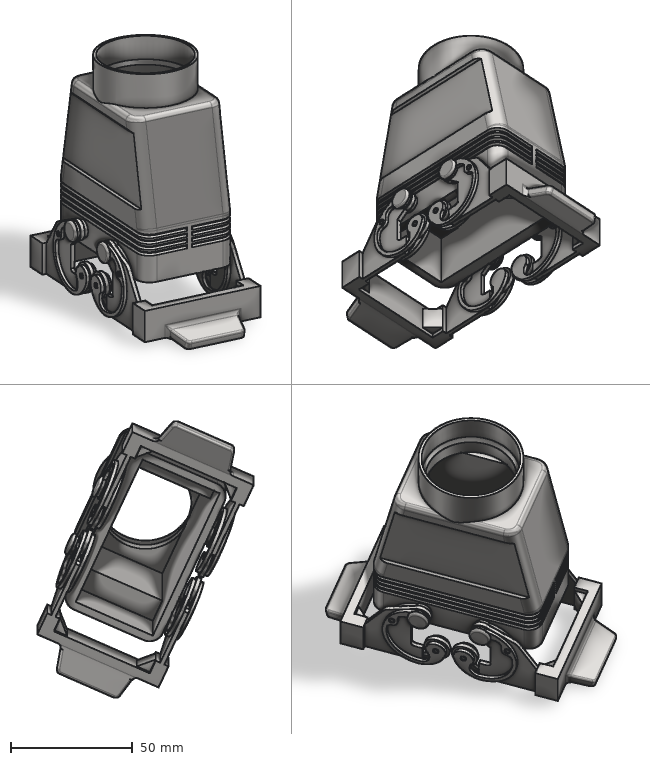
import cadquery as cq
import math


overall_length = 118.1
overall_height = 108.0

hood_half_length = 36.6
hood_half_depth = 21.7
hood_bottom = 20.7
hood_top = 90.6
taper_start = 44.2
taper_angle = math.radians(11.5)
shoulder_blend = 4.7
hood_corner_radius = 6.0
hood_top_radius = 2.4
hood_wall = 3.3
ceiling_thickness = 3.5
front_wall = 5.3
pocket_half_length = 23.9

panel_bottom = 52.4
panel_top = 83.8
panel_depth = 1.2
panel_ramp = 0.7

groove_count = 4
groove_pitch = 2.6
lowest_groove = 33.4
groove_half_width = 0.8
groove_depth = 1.0
groove_gap = 2.4

collar_radius = 21.6
collar_bore_radius = 20.3
entry_radius = 18.9
collar_bore_depth = 10.4
collar_seat_depth = 1.8

layer_inner = 22.0
web_inner = 23.6
web_outer = 25.5
layer_outer = 27.0
pin_end = 28.52
ring_center = (-13.5, 15.77)
ring_outer_radius = 15.77
ring_width = 1.8
pin_center = (-13.5, 28.0)
pin_radius = 4.6
pin_rounding = 1.0
hook_end_radius = 3.9
eye_center = (-6.0, 10.5)
eye_radius = 4.4
roller_radius = 5.5
rivet_center = (-25.2, 22.4)
rivet_boss_radius = 2.5
rivet_hole_radius = 1.2
rivet_hole_depth = 0.5

bar_outer = 47.4
bar_inner = 43.3
bar_arm_end = 37.4
bar_half_depth = 27.4
bar_arm_inner = 21.6
bar_height = 13.9
gusset_inset = 2.0
gusset_leg = bar_inner - bar_arm_end

tab_angle = math.radians(14)
tab_thickness = 4.3
tab_root_half_width = 16.5
tab_corner_radius = 2.1
tab_edge_radius = 1.0
tab_root_radius = 2.0
tab_embed = 1.2

rounding_loss = tab_edge_radius * (math.sin(tab_angle) + math.cos(tab_angle) - 1)
tab_reach = overall_length / 2 - bar_outer + rounding_loss
tab_length = (tab_reach - tab_thickness * math.sin(tab_angle)) / math.cos(tab_angle)
tab_drop = tab_length * math.sin(tab_angle) - rounding_loss
collar_top = overall_height - tab_drop
cavity_top = hood_top - ceiling_thickness


def polar(center, radius, degrees):
    angle = math.radians(degrees)
    return (center[0] + radius * math.cos(angle), center[1] + radius * math.sin(angle))


def slab(outline, near, far):
    """Extrude an XZ outline between two distances in front of the middle plane."""
    return outline.extrude(far - near).translate((0, -near, 0))


def disc(center, radius, near, far):
    return slab(cq.Workplane("XZ").center(*center).circle(radius), near, far)


def box_between(low, high):
    size = [b - a for a, b in zip(low, high)]
    return cq.Workplane("XY").box(*size, centered=False).translate(low)


def half_length_at(height):
    return hood_half_length - (height - taper_start) * math.tan(taper_angle)


def hood_shell():
    blend = shoulder_blend * math.tan(taper_angle / 2)
    top_half = half_length_at(hood_top)
    bend = [
        (hood_half_length, taper_start - blend),
        (hood_half_length - blend * math.sin(taper_angle), taper_start + blend * math.cos(taper_angle)),
    ]
    outline = (
        cq.Workplane("XZ")
        .moveTo(-hood_half_length, hood_bottom)
        .lineTo(hood_half_length, hood_bottom)
        .lineTo(*bend[0])
        .tangentArcPoint(bend[1], relative=False)
        .lineTo(top_half, hood_top)
        .lineTo(-top_half, hood_top)
        .lineTo(-bend[1][0], bend[1][1])
        .tangentArcPoint((-bend[0][0], bend[0][1]), relative=False)
        .close()
    )
    body = outline.extrude(hood_half_depth, both=True)
    slanted_edges = body.faces("<Y or >Y").edges("not |X").edges(">Z")
    body = slanted_edges.fillet(hood_corner_radius)
    return body.faces(">Z").edges().fillet(hood_top_radius)


def panel_cutter():
    return (
        cq.Workplane("YZ")
        .polyline([
            (-hood_half_depth, panel_bottom - panel_ramp),
            (-hood_half_depth + panel_depth, panel_bottom),
            (-hood_half_depth + panel_depth, panel_top),
            (-hood_half_depth, panel_top + panel_ramp),
        ])
        .close()
        .extrude(hood_half_length, both=True)
    )


def groove_cutter(height):
    """A V groove around the hood, interrupted in the middle of each short side."""
    outer_corner = hood_corner_radius
    inner_corner = hood_corner_radius - groove_depth

    def section(inset, corner, level):
        return (
            cq.Workplane("XY")
            .workplane(offset=level)
            .sketch()
            .rect(2 * (hood_half_length - inset), 2 * (hood_half_depth - inset))
            .vertices()
            .fillet(corner)
            .finalize()
        )

    block = section(0, outer_corner, height - groove_half_width).extrude(2 * groove_half_width)
    for direction in (-1, 1):
        cone = (
            cq.Workplane("XY", origin=(0, 0, height))
            .placeSketch(
                cq.Sketch()
                .rect(2 * (hood_half_length - groove_depth), 2 * (hood_half_depth - groove_depth))
                .vertices()
                .fillet(inner_corner),
                cq.Sketch()
                .rect(2 * hood_half_length, 2 * hood_half_depth)
                .vertices()
                .fillet(outer_corner)
                .moved(cq.Location(cq.Vector(0, 0, direction * groove_half_width))),
            )
            .loft()
        )
        block = block.cut(cone)
    gap = cq.Workplane("XY").box(2 * hood_half_length, groove_gap, 2.4).translate((0, 0, height))
    return block.cut(gap)


def cavity():
    """A straight pocket under the entry, widening to the full hood length at the open bottom."""
    chamber_half_length = hood_half_length - hood_wall
    front = front_wall - hood_half_depth
    back = hood_half_depth - hood_wall
    chamber = box_between(
        (-chamber_half_length, front, hood_bottom),
        (chamber_half_length, back, taper_start),
    )
    pocket = box_between(
        (-pocket_half_length, front, hood_bottom),
        (pocket_half_length, back, cavity_top),
    )
    return chamber.union(pocket)


def hood():
    body = hood_shell()
    panel = panel_cutter()
    body = body.cut(panel).cut(panel.mirror("XZ"))
    for index in range(groove_count):
        body = body.cut(groove_cutter(lowest_groove + index * groove_pitch))
    collar_base = hood_top - hood_top_radius
    collar = (
        cq.Workplane("XY", origin=(0, 0, collar_base))
        .circle(collar_radius)
        .extrude(collar_top - collar_base)
    )
    seat_top = collar_top - collar_bore_depth
    bore = (
        cq.Workplane("XZ")
        .polyline([
            (0, cavity_top),
            (entry_radius, cavity_top),
            (entry_radius, seat_top - collar_seat_depth),
            (collar_bore_radius, seat_top),
            (collar_bore_radius, collar_top),
            (0, collar_top),
        ])
        .close()
        .revolve(360, (0, 0, 0), (0, 1, 0))
    )
    return body.union(collar).cut(bore).cut(cavity())


def hook_outline():
    """The hook: a C-shaped rim from the pin round to the eye, with a boss at the rivet."""
    ring_inner_radius = ring_outer_radius - ring_width
    return (
        cq.Workplane("XZ")
        .moveTo(*polar(ring_center, ring_outer_radius, 90))
        .threePointArc(polar(ring_center, ring_outer_radius, 180), polar(ring_center, ring_outer_radius, 270))
        .threePointArc((-6.1, 2.8), polar(eye_center, eye_radius, -15))
        .threePointArc(polar(eye_center, eye_radius, 90), polar(eye_center, eye_radius, 205))
        .threePointArc((-8.7, 5.5), polar(ring_center, ring_inner_radius, -84))
        .threePointArc(polar(ring_center, ring_inner_radius, 220), polar(ring_center, ring_inner_radius, 174))
        .threePointArc((-26.8, 18.9), polar(rivet_center, rivet_boss_radius, -90))
        .threePointArc(polar(rivet_center, rivet_boss_radius, -40), polar(rivet_center, rivet_boss_radius, 0))
        .lineTo(-22.7, 23.9)
        .threePointArc((-21.7, 26.2), (-19.2, 27.2))
        .lineTo(*pin_center)
        .close()
    )


def web_outline():
    """The flat web: from the bar up to the pin, opened by an L-shaped notch."""
    return (
        cq.Workplane("XZ")
        .moveTo(-bar_arm_end - 1.2, 0)
        .lineTo(-bar_arm_end - 1.2, bar_height)
        .lineTo(-bar_arm_end, bar_height)
        .lineTo(-29.8, 25.0)
        .threePointArc((-28.6, 26.3), (-27.0, 27.2))
        .lineTo(*polar(pin_center, pin_radius, 113))
        .lineTo(*pin_center)
        .lineTo(-13.0, 23.5)
        .lineTo(-17.4, 20.1)
        .lineTo(-17.4, 9.5)
        .threePointArc((-16.7, 8.7), (-15.4, 8.4))
        .lineTo(-12.3, 8.4)
        .lineTo(-12.3, ring_width)
        .lineTo(ring_center[0], 0)
        .close()
    )


def lever_side():
    side = slab(web_outline(), web_inner, web_outer)
    side = side.union(disc(pin_center, pin_radius, web_inner, web_outer))
    side = side.union(disc(eye_center, roller_radius, web_inner, web_outer))
    for near, far in ((layer_inner, web_inner), (web_outer, layer_outer)):
        side = side.union(slab(hook_outline(), near, far))
        side = side.union(disc(pin_center, hook_end_radius, near, far))
    shank = disc(pin_center, hook_end_radius, hood_half_depth - 1.2, layer_outer)
    head = disc(pin_center, pin_radius, layer_outer, pin_end).faces("<Y").edges().fillet(pin_rounding)
    side = side.union(shank).union(head)
    for center in (eye_center, rivet_center):
        side = side.cut(disc(center, rivet_hole_radius, layer_outer - rivet_hole_depth, layer_outer))
    return side


def thumb_tab():
    """A tapered tab sloping down from the bar; its top and sides flare out where they meet the bar.

    It is the overlap of its side profile and its plan, both measured outwards from the bar face.
    """
    tip_bottom = (-tab_length * math.cos(tab_angle), -tab_length * math.sin(tab_angle))
    tip_top = (
        tip_bottom[0] - tab_thickness * math.sin(tab_angle),
        tip_bottom[1] + tab_thickness * math.cos(tab_angle),
    )
    root_height = tip_top[1] - tip_top[0] * math.tan(tab_angle)
    top_flare = flare(root_height, tab_angle)
    profile = (
        cq.Workplane("XZ")
        .moveTo(tab_embed, 0)
        .lineTo(0, 0)
        .lineTo(*tip_bottom)
        .lineTo(*tip_top)
        .lineTo(*top_flare[0])
        .threePointArc(*top_flare[1:])
        .lineTo(tab_embed, top_flare[2][1])
        .close()
        .extrude(bar_half_depth, both=True)
    )
    side_flare = flare(tab_root_half_width, tab_angle)
    tip_half_width = tab_root_half_width + tip_top[0] * math.tan(tab_angle)
    mirrored_flare = [(x, -y) for x, y in side_flare]
    plan = (
        cq.Workplane("XY")
        .moveTo(tip_top[0], -tip_half_width)
        .lineTo(tip_top[0], tip_half_width)
        .lineTo(*side_flare[0])
        .threePointArc(*side_flare[1:])
        .lineTo(tab_embed, side_flare[2][1])
        .lineTo(tab_embed, mirrored_flare[2][1])
        .lineTo(*mirrored_flare[2])
        .threePointArc(mirrored_flare[1], mirrored_flare[0])
        .close()
        .extrude(bar_height, both=True)
    )
    tip_face = cq.selectors.ParallelDirSelector(
        cq.Vector(math.cos(tab_angle), 0, math.sin(tab_angle))
    )
    sloping_faces = cq.selectors.ParallelDirSelector(
        cq.Vector(-math.sin(tab_angle), 0, math.cos(tab_angle))
    )
    tab = profile.intersect(plan)
    tab = tab.faces(tip_face).edges("not |Y").fillet(tab_corner_radius)
    tab = tab.faces(sloping_faces).faces(">Z").edges("not(|Y and >X)").fillet(tab_edge_radius)
    beyond_flare = box_between(
        (-bar_outer, -bar_half_depth, -bar_height),
        (top_flare[0][0], bar_half_depth, bar_height),
    )
    blade = tab.intersect(beyond_flare)
    blade = blade.faces(sloping_faces).faces("<Z").edges("not(|Y and >X)").fillet(tab_edge_radius)
    return tab.cut(beyond_flare).union(blade).translate((-bar_outer, 0, 0))


def flare(root_offset, slope_angle):
    """Start, middle and end of the arc that leads a sloping line up into the bar face."""
    opening = math.pi / 2 + slope_angle
    tangent = tab_root_radius / math.tan(opening / 2)
    start = (-tangent * math.cos(slope_angle), root_offset - tangent * math.sin(slope_angle))
    end = (0, root_offset + tangent)
    center = (-tab_root_radius, end[1])
    middle = polar(center, tab_root_radius, -math.degrees(math.pi / 2 - slope_angle) / 2)
    return start, middle, end


def cross_bar():
    bar = box_between(
        (-bar_outer, -bar_half_depth, 0),
        (-bar_arm_end, bar_half_depth, bar_height),
    )
    opening = box_between(
        (-bar_inner, -bar_arm_inner, 0),
        (-bar_arm_end, bar_arm_inner, bar_height),
    )
    gusset = (
        cq.Workplane("XY", origin=(0, 0, gusset_inset))
        .polyline([
            (-bar_inner, -bar_arm_inner),
            (-bar_inner + gusset_leg, -bar_arm_inner),
            (-bar_inner, -bar_arm_inner + gusset_leg),
        ])
        .close()
        .extrude(bar_height - 2 * gusset_inset)
    )
    return bar.cut(opening).union(gusset).union(gusset.mirror("XZ")).union(thumb_tab())


def lever():
    side = lever_side()
    return cross_bar().union(side).union(side.mirror("XZ"))


left_lever = lever()
result = hood().union(left_lever).union(left_lever.mirror("YZ"))